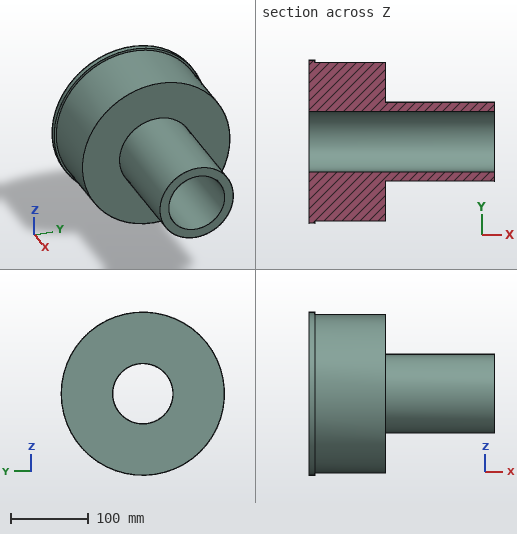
import cadquery as cq

total_length = 238.1
flange_thickness = 7.6
head_end = 98.3
shaft_length = total_length - head_end
head_length = head_end - flange_thickness

flange_diameter = 209.5
head_diameter = 203.8
shaft_diameter = 101.5
bore_diameter = 77.2


def cylinder_along_x(start, length, diameter):
    """Solid cylinder centred on the X axis, beginning at the given X."""
    return cq.Workplane("YZ", origin=(start, 0, 0)).circle(diameter / 2).extrude(length)


flange = cylinder_along_x(0, flange_thickness, flange_diameter)
head = cylinder_along_x(flange_thickness, head_length, head_diameter)
shaft = cylinder_along_x(head_end, shaft_length, shaft_diameter)
body = flange.union(head).union(shaft)

bore = cylinder_along_x(0, total_length, bore_diameter)
result = body.cut(bore)